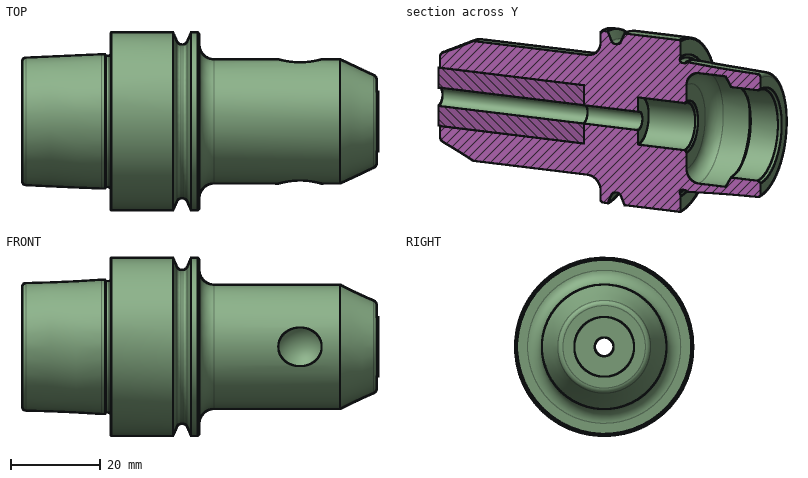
import cadquery as cq
import math

OVERALL_LENGTH = 79.9

MOUTH_RADIUS = 14.3
TAPER_END_RADIUS = 15.1
TAPER_LENGTH = 17.8
TAPER_LAND = 0.7
MOUTH_ROUND = 0.9

FLANGE_START = 19.8
NECK_RADIUS = 14.8
NECK_SLOPE_LENGTH = 0.2
UNDERCUT_ARC_RADIUS = 0.7
UNDERCUT_DEPTH = 0.2
UNDERCUT_END = FLANGE_START + UNDERCUT_DEPTH
UNDERCUT_TOP_RADIUS = NECK_RADIUS + UNDERCUT_ARC_RADIUS
UNDERCUT_RIM_RADIUS = 16.2

FLANGE_DIAMETER = 40.0
FLANGE_RADIUS = FLANGE_DIAMETER / 2
FLANGE_END = 39.8
FLANGE_FRONT_CHAMFER = 0.2
FLANGE_BACK_CHAMFER = 0.5
GROOVE_CENTER = 35.9
GROOVE_WIDTH = 4.1
GROOVE_FLOOR_WIDTH = 1.7
GROOVE_DEPTH = 2.7
GROOVE_FLOOR_ROUND = 0.95

BODY_RADIUS = 14.0
BODY_FILLET = 3.2
NOSE_START = 71.3
NOSE_END = 79.6
NOSE_END_RADIUS = 10.1
NOSE_ROUND = 1.3

BORE_RADIUS = 10.5
BORE_CHAMFER_RADIAL = 0.5
BORE_CHAMFER_LENGTH = 0.7
LIP_END = 7.4
CHAMBER_RADIUS = 12.8
CHAMBER_CONE_ANGLE = 60
CHAMBER_CONE_LENGTH = (CHAMBER_RADIUS - BORE_RADIUS) / math.tan(math.radians(CHAMBER_CONE_ANGLE))
CHAMBER_END = 18.4
CHAMBER_FILLET = 3.0

SOCKET_RADIUS = 5.4
SOCKET_CHAMFER = 0.5
SOCKET_DEPTH = 12.0

INSERT_RADIUS = 6.7
INSERT_LENGTH = 35.95
INSERT_START = OVERALL_LENGTH - INSERT_LENGTH
PASSAGE_RADIUS = 2.1

DIMPLE_X = 62.3
DIMPLE_SPHERE_RADIUS = 5.8
DIMPLE_CENTER_OFFSET = 17.2


def revolve(profile):
    """Turn a profile of (x, radius) points about the X axis."""
    return profile.close().revolve(360, (0, 0, 0), (1, 0, 0))


def rod(radius, start, end):
    """Round bar along X."""
    return cq.Workplane("YZ", origin=(start, 0, 0)).circle(radius).extrude(end - start)


def ring_edge(station, radius):
    """Selector for the round edge of a revolved solid at one station along X."""
    margin = 0.04
    outer = radius + margin
    inner = radius - margin
    start = station - margin
    end = station + margin
    around = cq.selectors.BoxSelector((start, -outer, -outer), (end, outer, outer), boundingbox=True)
    within = cq.selectors.BoxSelector((start, -inner, -inner), (end, inner, inner), boundingbox=True)
    return around - within


def make_taper():
    """Taper and neck, ending in the arc that rises from the neck into the flange face."""
    neck_start = TAPER_LENGTH + TAPER_LAND
    taper = revolve(
        cq.Workplane("XY")
        .moveTo(0, 0)
        .lineTo(0, MOUTH_RADIUS)
        .lineTo(TAPER_LENGTH, TAPER_END_RADIUS)
        .lineTo(neck_start, TAPER_END_RADIUS)
        .lineTo(neck_start + NECK_SLOPE_LENGTH, NECK_RADIUS)
        .lineTo(UNDERCUT_END - UNDERCUT_ARC_RADIUS, NECK_RADIUS)
        .radiusArc((UNDERCUT_END, UNDERCUT_TOP_RADIUS), -UNDERCUT_ARC_RADIUS)
        .lineTo(UNDERCUT_END, 0)
    )
    return taper.edges(ring_edge(0, MOUTH_RADIUS)).fillet(MOUTH_ROUND)


def make_flange():
    flange = rod(FLANGE_RADIUS, FLANGE_START, FLANGE_END)
    flange = flange.faces("<X").chamfer(FLANGE_FRONT_CHAMFER)
    return flange.faces(">X").chamfer(FLANGE_BACK_CHAMFER)


def make_gripper_groove():
    floor_radius = FLANGE_RADIUS - GROOVE_DEPTH
    floor_start = GROOVE_CENTER - GROOVE_FLOOR_WIDTH / 2
    floor_end = GROOVE_CENTER + GROOVE_FLOOR_WIDTH / 2
    groove = revolve(
        cq.Workplane("XY")
        .moveTo(GROOVE_CENTER - GROOVE_WIDTH / 2, FLANGE_RADIUS)
        .lineTo(floor_start, floor_radius)
        .lineTo(floor_end, floor_radius)
        .lineTo(GROOVE_CENTER + GROOVE_WIDTH / 2, FLANGE_RADIUS)
    )
    for station in (floor_start, floor_end):
        groove = groove.edges(ring_edge(station, floor_radius)).fillet(GROOVE_FLOOR_ROUND)
    return groove


def make_undercut():
    """Relief in the flange face, sloping from its rim down to the foot of the neck arc."""
    return revolve(
        cq.Workplane("XY")
        .moveTo(FLANGE_START, 0)
        .lineTo(FLANGE_START, UNDERCUT_RIM_RADIUS)
        .lineTo(UNDERCUT_END, UNDERCUT_TOP_RADIUS)
        .lineTo(UNDERCUT_END, 0)
    )


def make_body():
    body = revolve(
        cq.Workplane("XY")
        .moveTo(UNDERCUT_END, 0)
        .lineTo(UNDERCUT_END, BODY_RADIUS)
        .lineTo(FLANGE_END, BODY_RADIUS)
        .lineTo(FLANGE_END, BODY_RADIUS + BODY_FILLET)
        .radiusArc((FLANGE_END + BODY_FILLET, BODY_RADIUS), -BODY_FILLET)
        .lineTo(NOSE_START, BODY_RADIUS)
        .lineTo(NOSE_END, NOSE_END_RADIUS)
        .lineTo(NOSE_END, 0)
    )
    return body.faces(">X").edges().fillet(NOSE_ROUND)


def make_clamping_bore():
    """Chamfered entry lip opening into a wider chamber with a rounded floor."""
    return revolve(
        cq.Workplane("XY")
        .moveTo(0, 0)
        .lineTo(0, BORE_RADIUS + BORE_CHAMFER_RADIAL)
        .lineTo(BORE_CHAMFER_LENGTH, BORE_RADIUS)
        .lineTo(LIP_END, BORE_RADIUS)
        .lineTo(LIP_END + CHAMBER_CONE_LENGTH, CHAMBER_RADIUS)
        .lineTo(CHAMBER_END - CHAMBER_FILLET, CHAMBER_RADIUS)
        .radiusArc((CHAMBER_END, CHAMBER_RADIUS - CHAMBER_FILLET), CHAMBER_FILLET)
        .lineTo(CHAMBER_END, 0)
    )


def make_socket():
    return revolve(
        cq.Workplane("XY")
        .moveTo(CHAMBER_END, 0)
        .lineTo(CHAMBER_END, SOCKET_RADIUS + SOCKET_CHAMFER)
        .lineTo(CHAMBER_END + SOCKET_CHAMFER, SOCKET_RADIUS)
        .lineTo(CHAMBER_END + SOCKET_DEPTH, SOCKET_RADIUS)
        .lineTo(CHAMBER_END + SOCKET_DEPTH, 0)
    )


def make_holder():
    flange = make_flange().cut(make_undercut()).cut(make_gripper_groove())
    holder = flange.union(make_taper()).union(make_body())
    holder = holder.cut(make_clamping_bore()).cut(make_socket())
    holder = holder.cut(rod(PASSAGE_RADIUS, 0, OVERALL_LENGTH))
    holder = holder.cut(rod(INSERT_RADIUS, INSERT_START, OVERALL_LENGTH))
    for side in (-1, 1):
        dimple_center = (DIMPLE_X, side * DIMPLE_CENTER_OFFSET, 0)
        holder = holder.cut(cq.Workplane("XY").sphere(DIMPLE_SPHERE_RADIUS).translate(dimple_center))
    return holder.solids()


def make_insert():
    insert = rod(INSERT_RADIUS, INSERT_START, OVERALL_LENGTH)
    return insert.cut(rod(PASSAGE_RADIUS, INSERT_START, OVERALL_LENGTH))


holder = make_holder()
insert = make_insert()
result = cq.Compound.makeCompound([holder.val(), insert.val()])